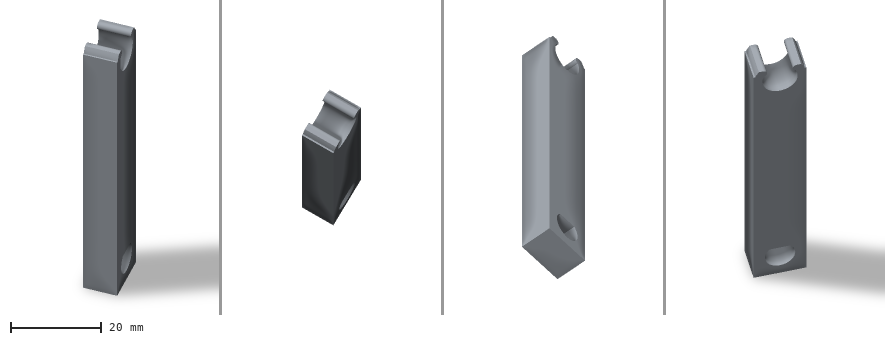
import cadquery as cq

length = 69.5
width = 12.0
thickness = 8.0

clip_center_z = 65.9
clip_outer_radius = width / 2
clip_bore_radius = 4.0
shoulder_z = 68.0
lip_tip_radius = 0.9
lip_tip_y = 3.8
lip_tip_z = length - lip_tip_radius

hole_center_z = width / 2
hole_radius = 3.5
hole_flat_z = 8.55


def cylinder(radius, y, z):
    """Cylinder along X through the full thickness."""
    return (
        cq.Workplane("YZ", origin=(-thickness / 2, 0, 0))
        .center(y, z)
        .circle(radius)
        .extrude(thickness)
    )


def block(block_width, bottom, top):
    """Rectangular block of full thickness between two heights."""
    return cq.Workplane("XY").box(
        thickness, block_width, top - bottom, centered=(True, True, False)
    ).translate((0, 0, bottom))


def make_bar():
    """Straight bar with a half-round seat for the clip and a flatted hole."""
    seat = cylinder(clip_outer_radius, 0, clip_center_z)
    hole = cylinder(hole_radius, 0, hole_center_z).intersect(block(width, 0, hole_flat_z))
    return block(width, 0, clip_center_z).cut(seat).cut(hole)


def make_clip():
    """Open ring with square shoulders and rounded lips beside its mouth."""
    ring = cylinder(clip_outer_radius, 0, clip_center_z)
    shoulders = block(width, clip_center_z, shoulder_z)
    bore = cylinder(clip_bore_radius, 0, clip_center_z)
    mouth = block(2 * lip_tip_y, lip_tip_z, clip_center_z + clip_outer_radius)
    clip = ring.union(shoulders).cut(bore).cut(mouth)
    for side in (-1, 1):
        clip = clip.union(cylinder(lip_tip_radius, side * lip_tip_y, lip_tip_z))
    return clip.intersect(block(width, 0, length))


bar = make_bar()
clip = make_clip()

result = cq.Compound.makeCompound([bar.solids().val(), clip.solids().val()])